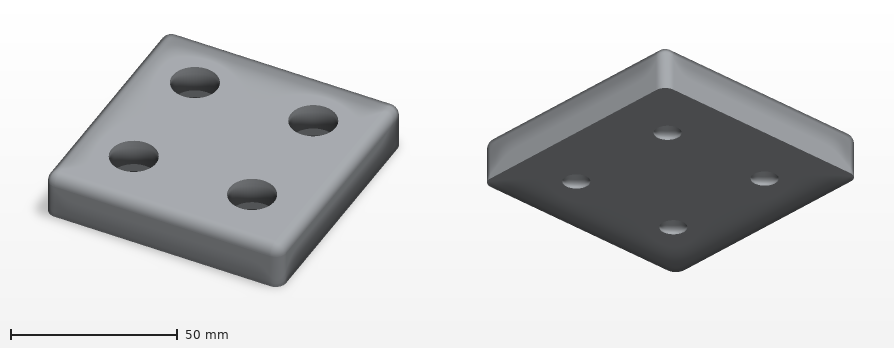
import cadquery as cq

side = 80.0
thickness = 15.0
edge_radius = 3.5

hole_spacing = side / 2
hole_diameter = 8.5
counterbore_diameter = 15.0
counterbore_depth = 9.0


def rounded_plate():
    """Square plate on Z = 0 with rounded corners and a rounded top rim."""
    plate = cq.Workplane("XY").box(side, side, thickness, centered=(True, True, False))
    return plate.edges("|Z or >Z").fillet(edge_radius)


def with_counterbored_holes(plate):
    """Cut the four through holes, counterbored from the top face."""
    return (
        plate.faces(">Z")
        .workplane(origin=(0, 0, thickness))
        .rarray(hole_spacing, hole_spacing, 2, 2)
        .cboreHole(hole_diameter, counterbore_diameter, counterbore_depth)
    )


result = with_counterbored_holes(rounded_plate())